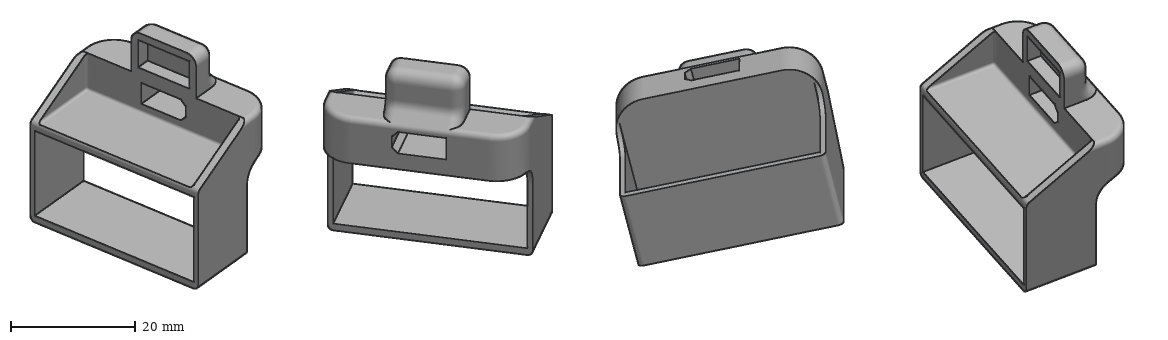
import cadquery as cq
import math

WIDTH = 34.0
DEPTH = 20.5
HEIGHT = 34.0

SLEEVE_DEPTH = 13.0
WALL_FRONT = 13.1
SHOULDER_Z = 26.0
SHELF_Z = 17.58
SLOPE_FRONT_Z = 18.95
EDGE_RADIUS = 1.0
PLAN_RADIUS = 5.5
OVERHANG_RADIUS = 4.0

WINDOW_WIDTH = 32.15
WINDOW_BOTTOM = 1.3
TRAY_WIDTH = 31.15
TRAY_FLOOR_Z = 18.97
TRAY_RADIUS = 0.5
SLOT_WIDTH = 9.0
SLOT_BOTTOM = 20.57
SLOT_TOP = 24.58
SLOT_CHAMFER = 1.02

TAB_WIDTH = 13.2
TAB_BACK = 17.92
TAB_RADIUS = 2.0
FOOT_RADIUS = 2.0
TAB_ROOT_Z = 22.1
POCKET_WIDTH = 10.35
POCKET_BOTTOM = 27.3
POCKET_TOP = 32.57
POCKET_DEPTH = 2.5

CLEARANCE = 1.7


def box_between(width, y_start, y_end, z_start, z_end):
    """Box centred on X between the given Y and Z limits."""
    box = cq.Workplane("XY").box(width, y_end - y_start, z_end - z_start, centered=(True, False, False))
    return box.translate((0, y_start, z_start))


def side_profile(width):
    """YZ workplane placed so that a one-way extrusion of this width is centred on X."""
    return cq.Workplane("YZ", origin=(-width / 2, 0, 0))


def make_body():
    body = box_between(WIDTH, 0, DEPTH, 0, SHOULDER_Z)
    body = body.edges("|Z and >Y").fillet(PLAN_RADIUS)
    body = body.faces("<Z").edges("|Y").fillet(EDGE_RADIUS)
    body = body.faces(">Z").edges("not <Y").fillet(EDGE_RADIUS)

    below_overhang = (
        side_profile(WIDTH)
        .moveTo(SLEEVE_DEPTH, -CLEARANCE)
        .lineTo(SLEEVE_DEPTH, SHELF_Z - OVERHANG_RADIUS)
        .radiusArc((SLEEVE_DEPTH + OVERHANG_RADIUS, SHELF_Z), OVERHANG_RADIUS)
        .lineTo(DEPTH + CLEARANCE, SHELF_Z)
        .lineTo(DEPTH + CLEARANCE, -CLEARANCE)
        .close()
        .extrude(WIDTH)
    )
    side_outline = (
        side_profile(WIDTH)
        .polyline([(0, 0), (DEPTH, 0), (DEPTH, SHOULDER_Z), (WALL_FRONT, SHOULDER_Z), (0, SLOPE_FRONT_Z)])
        .close()
        .extrude(WIDTH)
    )
    side_outline = side_outline.faces("<Y").edges(">Z").fillet(EDGE_RADIUS)
    return body.cut(below_overhang).intersect(side_outline)


def make_tray():
    tray = box_between(TRAY_WIDTH, -CLEARANCE, WALL_FRONT, TRAY_FLOOR_Z, HEIGHT)
    return tray.edges("(|Z and >Y) or (<Z and (not <Y))").fillet(TRAY_RADIUS)


def make_tab():
    diagonal = math.sqrt(0.5)
    rim_y = DEPTH - EDGE_RADIUS * (1 - diagonal)
    rim_z = SHOULDER_Z - EDGE_RADIUS * (1 - diagonal)

    bend_z = rim_z + rim_y - TAB_BACK
    tangent_length = FOOT_RADIUS * math.tan(math.pi / 8)
    curve_end = (TAB_BACK + tangent_length * diagonal, bend_z - tangent_length * diagonal)
    tab = (
        side_profile(TAB_WIDTH)
        .moveTo(WALL_FRONT, TAB_ROOT_Z)
        .lineTo(WALL_FRONT, HEIGHT)
        .lineTo(TAB_BACK, HEIGHT)
        .lineTo(TAB_BACK, bend_z + tangent_length)
        .radiusArc(curve_end, -FOOT_RADIUS)
        .lineTo(rim_y, rim_z)
        .lineTo(rim_y, TAB_ROOT_Z)
        .close()
        .extrude(TAB_WIDTH)
    )
    tab = tab.faces(">Z").edges("|Y").fillet(TAB_RADIUS)
    return tab.faces(">Z").edges(">Y").fillet(TAB_RADIUS)


def make_slot():
    """Through slot in the upright wall with two chamfered corners on its +X end."""
    slot = box_between(SLOT_WIDTH, WALL_FRONT - CLEARANCE, DEPTH + CLEARANCE, SLOT_BOTTOM, SLOT_TOP)
    return slot.faces(">X").edges("|Y").chamfer(SLOT_CHAMFER)


window = box_between(WINDOW_WIDTH, -CLEARANCE, SLEEVE_DEPTH + OVERHANG_RADIUS, WINDOW_BOTTOM, SHELF_Z)
pocket = box_between(POCKET_WIDTH, WALL_FRONT, WALL_FRONT + POCKET_DEPTH, POCKET_BOTTOM, POCKET_TOP)

result = make_body().cut(make_tray()).union(make_tab())
result = result.cut(window).cut(make_slot()).cut(pocket)